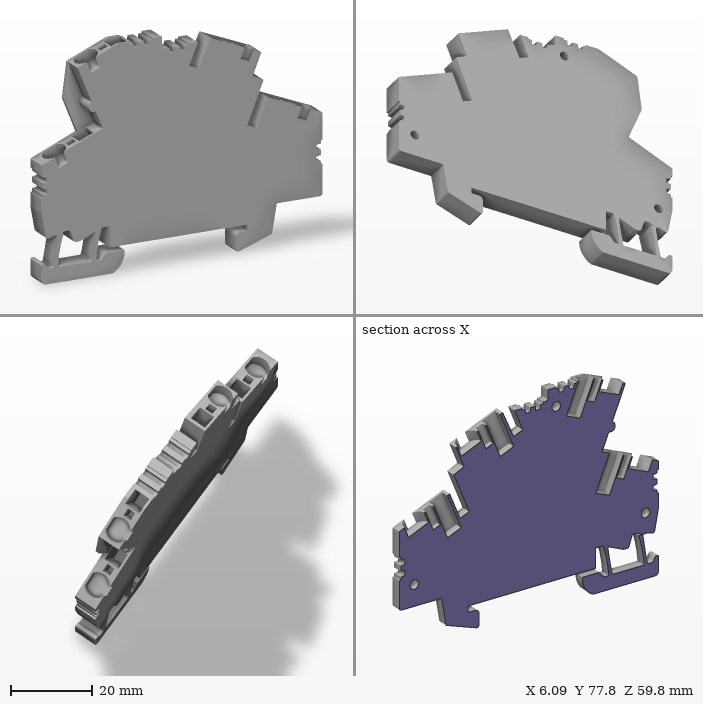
import cadquery as cq
import math

HOUSING_WIDTH = 5.9
LENGTH = 77.8
HEIGHT = 59.75
END = LENGTH / 2
COVER_THICKNESS = 0.19
WIDTH = COVER_THICKNESS + HOUSING_WIDTH

TILT = math.radians(22.5)
SLOPE = math.tan(TILT)
ENTRY_DIAMETER = 6.4
ENTRY_DEPTH = 3.2
ENTRY_X = 3.2
ENTRY_WALL = 0.6
CUT_START = 0.2
TEST_SIZE = 2.2
TEST_DEPTH = 6.2
TEST_X = 3.5
TEST_OFFSET = 4.75
LEVER_SIZE = 4.3
LEVER_DEPTH = 10.9
LEVER_X = 3.35
LEVER_OFFSET = 8.5

LOW_FACE_EDGE = (END, 32.9)
HIGH_FACE_EDGE = (21.95, 51.35)
NOSE_TOP = (-28.95, 55.25)
CLIP_FACE_EDGE = (-END, 31.3)
TERMINALS = [
    (LOW_FACE_EDGE, 34.3, 1),
    (HIGH_FACE_EDGE, 18.5, 1),
    (NOSE_TOP, -25.2, -1),
    (CLIP_FACE_EDGE, -34.0, -1),
]

SEAT_WIDTH = 6.3
SEAT_DEPTH = 0.5
GROOVE_TOP = 1.6
GROOVE_FLOOR = 1.25
GROOVE_DEPTH = 1.6
GROOVE_SPACING = 3.0
GROOVE_NOTCH_DEPTH = 0.3
GROOVE_NOTCH_END = 0.55
STEP_TOP = 56.7
SEATS = [
    ((-1.2, STEP_TOP), 0),
    ((-11.3, HEIGHT), 0),
    ((END, 22.65), -90),
    ((-END, 25.75), 90),
]

LOCATING_DIAMETER = 2.5
LOCATING_DEPTH = 4.7
LOCATING_HOLES = [(34.3, 17.2), (-8.2, 54.5), (-34.9, 18.05)]

NOSE_WALL = 1.1
NOSE_TIP = (-30.2, 45.75)
NOSE_ROOT = (-26.45, 36.5)
RIB_RADIUS = 1.4
RIB_Z = 44.4
RIB_UNDERSIDE = 43.9

BODY_BOTTOM = 6.9
SHOULDER_Z = 11.2
POCKET_TOP = 12.45
CLIP_FLOOR = 4.0
CLIP_JAW_TOP = 5.6
CLIP_LIP_TOP = 5.45
ARM_BOTTOM = 3.1
ARM_FOOT = (-25.0, CLIP_FLOOR)
ARM_FOOT_RADIUS = 0.55
CLIP_POCKET_Y = -20.0
CLIP_ARM_PITCH = 10.6


def flat_plate(start_x, end_x):
    """A sketch plane at start_x whose local axes are Y and Z, and the distance to end_x."""
    return cq.Workplane("YZ", origin=(start_x, 0, 0)), end_x - start_x


def round_corners(plate, radius, corners):
    """Rounds the edges along X that stand at the (Y, Z) corners."""
    middle_x = plate.val().Center().x
    for y, z in corners:
        nearest = cq.selectors.NearestToPointSelector((middle_x, y, z))
        plate = plate.edges("|X").edges(nearest).fillet(radius)
    return plate


def body_plate(start_x, end_x):
    """The main outline down to the rail, without the rail foot and the marker seats."""
    plane, thickness = flat_plate(start_x, end_x)
    lower_corner = (END, SHOULDER_Z)
    hook_root_y = 23.35
    riser_foot = (-5.6, STEP_TOP)
    end_corner = (-37.6, 11.7)
    underside_tip = [(-29.9, 9.8), (-28.3, 9.8)]
    outline = [
        lower_corner,
        LOW_FACE_EDGE,
        (23.7, 39.2), (20.6, 31.7), (18.0, 32.75), (22.6, 44.05), (19.5, 45.45),
        HIGH_FACE_EDGE,
        (7.85, 57.2), (4.6, 49.7), (1.95, 50.8), (4.35, STEP_TOP),
        riser_foot, (riser_foot[0], HEIGHT), (-17.9, HEIGHT),
        NOSE_TOP, NOSE_TIP, NOSE_ROOT,
        CLIP_FACE_EDGE,
        (-END, 18.75), end_corner, (-35.55, 12.4), (-34.0, 12.4), (-32.4, 13.15), (-31.0, 13.15),
        *underside_tip, (-24.5, 11.4), (-22.25, POCKET_TOP), (CLIP_POCKET_Y, POCKET_TOP),
        (CLIP_POCKET_Y, BODY_BOTTOM),
        (hook_root_y, BODY_BOTTOM), (hook_root_y, SHOULDER_Z),
    ]
    plate = plane.polyline(outline).close().extrude(thickness)
    plate = round_corners(plate, 0.8, [lower_corner, end_corner, *underside_tip])
    return round_corners(plate, 0.6, [riser_foot])


def rail_hook(start_x, end_x):
    """The fixed hook at the +Y side of the rail."""
    plane, thickness = flat_plate(start_x, end_x)
    tip = (14.95, 0.0)
    heel = (24.9, 3.4)
    root = (26.2, SHOULDER_Z)
    throat = (18.2, 5.3)
    lip = (14.95, 5.3)
    outline = [root, heel, tip, lip, throat, (18.2, SHOULDER_Z)]
    hook = plane.polyline(outline).close().extrude(thickness)
    hook = round_corners(hook, 0.6, [tip, heel])
    return round_corners(hook, 1.25, [lip])


def clip_arm(start_x, end_x, shift):
    """One curved spring arm between the body and the clip bar."""
    plane, thickness = flat_plate(start_x, end_x)
    return (
        plane.moveTo(-22.25 - shift, POCKET_TOP)
        .threePointArc((-23.3 - shift, 8.3), (-23.9 - shift, ARM_BOTTOM))
        .lineTo(-25.1 - shift, ARM_BOTTOM)
        .threePointArc((-24.3 - shift, 7.6), (-23.6 - shift, POCKET_TOP))
        .close()
        .extrude(thickness)
    )


def clip_bar(start_x, end_x):
    """The bar under the spring arms, with its jaw and its release lip."""
    plane, thickness = flat_plate(start_x, end_x)
    toe = (-END, 0.0)
    bar = (
        plane.moveTo(-19.2, 0)
        .threePointArc((-16.8, 2.1), (-15.9, CLIP_JAW_TOP))
        .lineTo(-21.0, CLIP_JAW_TOP)
        .lineTo(-22.4, CLIP_FLOOR)
        .lineTo(-37.0, CLIP_FLOOR)
        .lineTo(-37.9, CLIP_LIP_TOP)
        .lineTo(-END, CLIP_LIP_TOP)
        .lineTo(*toe)
        .close()
        .extrude(thickness)
    )
    bar = round_corners(bar, 1.25, [toe])
    return round_corners(bar, 0.5, [(-37.9, CLIP_LIP_TOP), (-END, CLIP_LIP_TOP), (-37.0, CLIP_FLOOR)])


def marker_seat(center, turn):
    """The cut for one seat, running through the whole thickness."""
    seat = cq.Workplane("YZ").rect(SEAT_WIDTH, 2 * SEAT_DEPTH).extrude(WIDTH)
    for side in (-1, 1):
        middle = side * GROOVE_SPACING / 2
        groove = (
            cq.Workplane("YZ")
            .polyline([
                (middle - GROOVE_TOP / 2, 0),
                (middle + GROOVE_TOP / 2, 0),
                (middle + GROOVE_FLOOR / 2, -GROOVE_DEPTH),
                (middle - GROOVE_FLOOR / 2, -GROOVE_DEPTH),
            ])
            .close()
            .extrude(WIDTH)
        )
        notch_floor = -GROOVE_DEPTH - GROOVE_NOTCH_DEPTH
        notch = (
            cq.Workplane("XZ", origin=(0, middle + GROOVE_FLOOR / 2, 0))
            .polyline([
                (COVER_THICKNESS, -GROOVE_DEPTH),
                (COVER_THICKNESS, notch_floor),
                (GROOVE_NOTCH_END, notch_floor),
                (GROOVE_NOTCH_END + GROOVE_NOTCH_DEPTH, -GROOVE_DEPTH),
            ])
            .close()
            .extrude(GROOVE_FLOOR)
        )
        seat = seat.union(groove).union(notch)
    return seat.rotate((0, 0, 0), (1, 0, 0), turn).translate((0, *center))


def locating_holes(depth):
    return cq.Workplane("YZ").pushPoints(LOCATING_HOLES).circle(LOCATING_DIAMETER / 2).extrude(depth)


def full_plate(start_x, end_x):
    """The complete side outline between two X positions, with seats and locating holes."""
    plate = body_plate(start_x, end_x)
    plate = plate.union(rail_hook(start_x, end_x))
    plate = plate.union(clip_bar(start_x, end_x))
    for shift in (0, CLIP_ARM_PITCH):
        plate = plate.union(clip_arm(start_x, end_x, shift))
    arm_feet = [(ARM_FOOT[0] - shift, ARM_FOOT[1]) for shift in (0, CLIP_ARM_PITCH)]
    plate = round_corners(plate, ARM_FOOT_RADIUS, arm_feet)
    for center, turn in SEATS:
        plate = plate.cut(marker_seat(center, turn))
    return plate.cut(locating_holes(LOCATING_DEPTH))


def terminal(face_edge, entry_y, end):
    """Conductor entry, test slot and lever slot, cut square to a face tilted towards one end."""
    entry_z = face_edge[1] + SLOPE * abs(entry_y - face_edge[0])
    normal = cq.Vector(0, end * math.sin(TILT), math.cos(TILT))
    start = cq.Vector(0, entry_y, entry_z) + normal * CUT_START
    face = cq.Workplane(cq.Plane(origin=start, xDir=(1, 0, 0), normal=normal))
    entry = face.center(ENTRY_X, 0).circle(ENTRY_DIAMETER / 2).extrude(-ENTRY_DEPTH - CUT_START)
    keep = face.rect(2 * ENTRY_WALL, 2 * ENTRY_DIAMETER).extrude(-ENTRY_DEPTH - CUT_START)
    test = face.center(TEST_X, -end * TEST_OFFSET).rect(TEST_SIZE, TEST_SIZE).extrude(-TEST_DEPTH)
    lever = face.center(LEVER_X, -end * LEVER_OFFSET).rect(LEVER_SIZE, LEVER_SIZE).extrude(-LEVER_DEPTH)
    return entry.cut(keep).union(test).union(lever)


def nose_recess():
    """The space beside the nose wall, bounded by the tilted end wall and the lower terminal face."""
    drop = (NOSE_TOP[1] - NOSE_ROOT[1] + SLOPE * (NOSE_ROOT[0] - NOSE_TOP[0])) / (1 + SLOPE**2)
    foot = (NOSE_TOP[0] + SLOPE * drop, NOSE_TOP[1] - drop)
    plane, thickness = flat_plate(NOSE_WALL, WIDTH)
    return plane.polyline([NOSE_TOP, foot, NOSE_ROOT, NOSE_TIP]).close().extrude(thickness)


def nose_rib():
    """A round-topped rib across the tilted end wall under the nose."""
    plane, thickness = flat_plate(NOSE_WALL, WIDTH)
    wall_y = NOSE_TOP[0] + (NOSE_TOP[1] - RIB_Z) * SLOPE
    rib = plane.center(wall_y, RIB_Z).circle(RIB_RADIUS).extrude(thickness)
    below = plane.center(0, -RIB_RADIUS + RIB_UNDERSIDE - RIB_Z).rect(2 * RIB_RADIUS, 2 * RIB_RADIUS)
    return rib.cut(below.extrude(thickness))


def make_cover():
    return full_plate(0, COVER_THICKNESS)


def make_housing():
    housing = full_plate(COVER_THICKNESS, WIDTH).cut(nose_recess()).union(nose_rib())
    for face_edge, entry_y, end in TERMINALS:
        housing = housing.cut(terminal(face_edge, entry_y, end))
    return housing


cover = make_cover()
housing = make_housing()
result = cq.Compound.makeCompound([cover.val(), housing.val()])